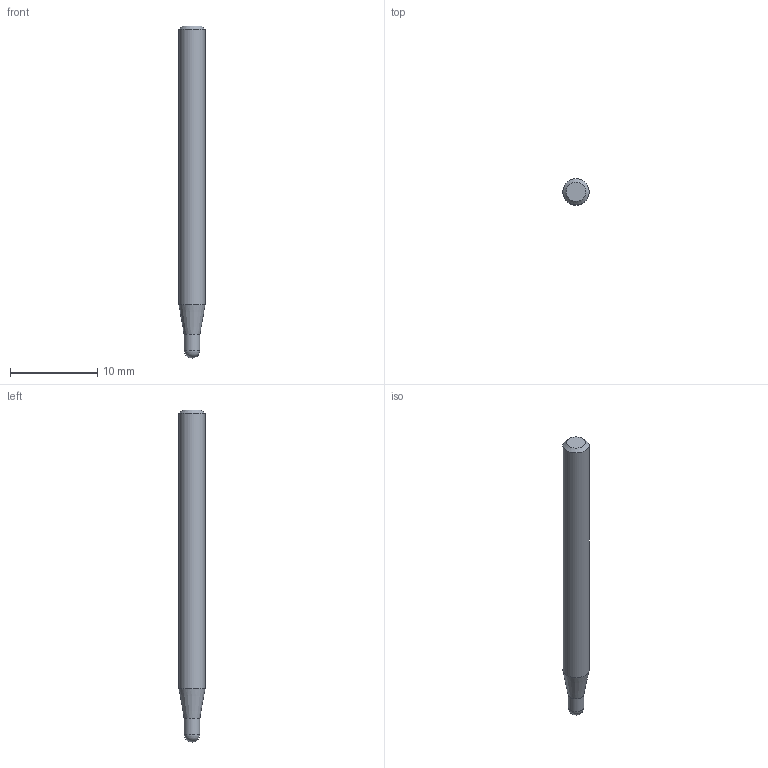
import cadquery as cq
import math

overall_length = 38.0
shank_diameter = 3.0
tip_diameter = 1.8
taper_half_angle = 10.0
neck_top = 2.7
end_chamfer = 0.4

shank_radius = shank_diameter / 2
tip_radius = tip_diameter / 2
taper_length = (shank_radius - tip_radius) / math.tan(math.radians(taper_half_angle))
taper_top = neck_top + taper_length

arc_mid_radius = tip_radius * math.sin(math.radians(45))
arc_mid_height = tip_radius - arc_mid_radius


def half_profile():
    """Closed half section in the XZ plane: ball tip, neck, taper, shank, chamfered end."""
    return (
        cq.Workplane("XZ")
        .moveTo(0, 0)
        .threePointArc((arc_mid_radius, arc_mid_height), (tip_radius, tip_radius))
        .lineTo(tip_radius, neck_top)
        .lineTo(shank_radius, taper_top)
        .lineTo(shank_radius, overall_length - end_chamfer)
        .lineTo(shank_radius - end_chamfer, overall_length)
        .lineTo(0, overall_length)
        .close()
    )


result = half_profile().revolve(360, (0, 0, 0), (0, 1, 0))